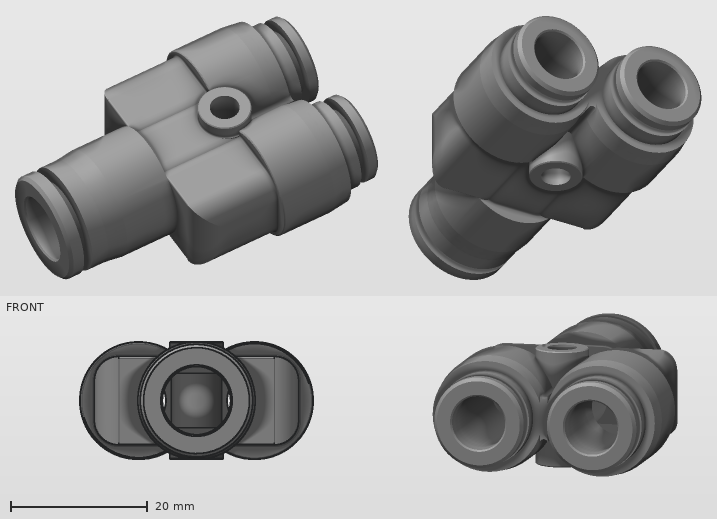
import cadquery as cq
import math

LENGTH = 48.5
FRONT_END = -LENGTH / 2
BACK_END = LENGTH / 2

SOCKET_DIAMETER = 17.2
SOCKET_RADIUS = SOCKET_DIAMETER / 2
RIM_CHAMFER = 0.5
BORE_CHAMFER = 0.25

EDGE_ROUND = 0.25
EDGE_ARC_INSET = EDGE_ROUND * (1 - math.cos(math.radians(45)))

TWIN_OFFSET = 8.5
TWIN_COLLAR_RADIUS = 6.75
TWIN_NECK_RADIUS = 4.95
TWIN_RING_RADIUS = 6.9
TWIN_MOUTH_RADIUS = 8.25
TWIN_BORE_DIAMETER = 8.0
TWIN_BORE_RADIUS = TWIN_BORE_DIAMETER / 2
TWIN_COLLAR_DEPTH = 1.8
TWIN_NECK_DEPTH = 3.2
TWIN_RING_DEPTH = 5.75
TWIN_TAPER_DEPTH = 8.75
TWIN_SOCKET_DEPTH = 17.25

MAIN_RING_RADIUS = 8.25
MAIN_NECK_RADIUS = 6.0
MAIN_BORE_RADIUS = 5.0
MAIN_COLLAR_DEPTH = 2.3
MAIN_NECK_DEPTH = 3.7
MAIN_RING_DEPTH = 6.4
MAIN_TAPER_DEPTH = 9.4
MAIN_SOCKET_DEPTH = 18.0
MAIN_BORE_DEPTH = 23.3

BAR_SIZE = 12.95
BAR_ROUND = 3.55

VALLEY_RADIUS = 0.65

EYE_Y = 6.9
EYE_RADIUS = 3.95
EYE_EDGE = 0.15
PIN_HOLE_RADIUS = 2.2
PIN_COLUMN_DIAMETER = 7.4

BLOCK_FRONT = FRONT_END + MAIN_SOCKET_DEPTH
TWIN_SOCKET_FRONT = BACK_END - TWIN_SOCKET_DEPTH
BLOCK_LENGTH = TWIN_SOCKET_FRONT - BLOCK_FRONT
MAIN_BORE_END = FRONT_END + MAIN_BORE_DEPTH


def revolved_port(profile):
    """Revolve (radius, depth from the rim) points and point the rim toward -Y at Y = 0."""
    return cq.Workplane("XY").polyline(profile).close().revolve(360, (0, 0, 0), (0, 1, 0))


def bore_profile(radius, depth):
    return [
        (0, 0),
        (radius + BORE_CHAMFER, 0),
        (radius, BORE_CHAMFER),
        (radius, depth),
        (0, depth),
    ]


def twin_placed(shape):
    """Turn a port toward +Y and place it at both twin positions."""
    turned = shape.rotate((0, 0, 0), (0, 0, 1), 180).translate((0, BACK_END, 0))
    return turned.translate((-TWIN_OFFSET, 0, 0)).union(turned.translate((TWIN_OFFSET, 0, 0)))


def rounded_bar():
    """Rounded square bar along Y from the front of the block into the back of a twin socket."""
    bar = cq.Workplane("XY").box(BAR_SIZE, BLOCK_LENGTH, BAR_SIZE).edges("|Y").fillet(BAR_ROUND)
    return bar.translate((0, BLOCK_FRONT + BLOCK_LENGTH / 2, 0))


def bar_outline(y):
    """Selector for the edges where a rounded bar meets a socket face at the given Y."""
    reach = BAR_SIZE / 2 + EDGE_ROUND
    return cq.selectors.BoxSelector(
        (-reach, y - EDGE_ROUND, -reach),
        (reach, y + EDGE_ROUND, reach),
        boundingbox=True,
    )


def twin_branch():
    """One small port with its bar, on the Y axis; the outer front edge of the bar is rounded in plan."""
    port = revolved_port([
        (0, 0),
        (TWIN_COLLAR_RADIUS - RIM_CHAMFER, 0),
        (TWIN_COLLAR_RADIUS, RIM_CHAMFER),
        (TWIN_COLLAR_RADIUS, TWIN_COLLAR_DEPTH),
        (TWIN_NECK_RADIUS, TWIN_COLLAR_DEPTH),
        (TWIN_NECK_RADIUS, TWIN_NECK_DEPTH),
        (TWIN_RING_RADIUS, TWIN_NECK_DEPTH),
        (TWIN_RING_RADIUS, TWIN_RING_DEPTH),
        (TWIN_MOUTH_RADIUS, TWIN_RING_DEPTH),
        (SOCKET_RADIUS, TWIN_TAPER_DEPTH),
        (SOCKET_RADIUS, TWIN_SOCKET_DEPTH),
        (0, TWIN_SOCKET_DEPTH),
    ])
    port = port.faces(">Y").edges().fillet(EDGE_ROUND)
    port = port.rotate((0, 0, 0), (0, 0, 1), 180).translate((0, BACK_END, 0))
    plan = cq.Workplane("XY").box(BAR_SIZE, BLOCK_LENGTH, BAR_SIZE)
    plan = plan.edges("|Z and <Y and >X").fillet(BAR_ROUND)
    plan = plan.translate((0, BLOCK_FRONT + BLOCK_LENGTH / 2, 0))
    branch = port.union(rounded_bar().intersect(plan))
    return branch.edges(bar_outline(TWIN_SOCKET_FRONT)).fillet(EDGE_ROUND)


def main_branch():
    """The large port with its bar."""
    port = revolved_port([
        (0, 0),
        (MAIN_RING_RADIUS - RIM_CHAMFER, 0),
        (MAIN_RING_RADIUS, RIM_CHAMFER),
        (MAIN_RING_RADIUS, MAIN_COLLAR_DEPTH),
        (MAIN_NECK_RADIUS, MAIN_COLLAR_DEPTH),
        (MAIN_NECK_RADIUS, MAIN_NECK_DEPTH),
        (MAIN_RING_RADIUS, MAIN_NECK_DEPTH),
        (MAIN_RING_RADIUS, MAIN_RING_DEPTH),
        (SOCKET_RADIUS, MAIN_TAPER_DEPTH),
        (SOCKET_RADIUS, MAIN_SOCKET_DEPTH),
        (0, MAIN_SOCKET_DEPTH),
    ]).translate((0, FRONT_END, 0))
    branch = port.union(rounded_bar())
    return branch.edges(bar_outline(BLOCK_FRONT)).fillet(EDGE_ROUND)


def web():
    """Web between the twin sockets, hollowed by an arc tangent to both socket cylinders."""
    length = TWIN_SOCKET_DEPTH - TWIN_RING_DEPTH
    center_distance = SOCKET_RADIUS + VALLEY_RADIUS
    arc_center_z = math.sqrt(center_distance**2 - TWIN_OFFSET**2)
    tangent_x = TWIN_OFFSET * VALLEY_RADIUS / center_distance
    tangent_z = arc_center_z * SOCKET_RADIUS / center_distance
    arc_bottom_z = arc_center_z - VALLEY_RADIUS
    return (
        cq.Workplane("XZ", origin=(0, TWIN_SOCKET_FRONT, 0))
        .moveTo(-tangent_x, -tangent_z)
        .lineTo(-tangent_x, tangent_z)
        .threePointArc((0, arc_bottom_z), (tangent_x, tangent_z))
        .lineTo(tangent_x, -tangent_z)
        .threePointArc((0, -arc_bottom_z), (-tangent_x, -tangent_z))
        .close()
        .extrude(-length)
    )


def vertical_cylinder(radius, height):
    return cq.Workplane("XY", origin=(0, EYE_Y, -height / 2)).circle(radius).extrude(height)


def flow_passage():
    """Bores of the three ports and the flat chamber that joins them around the pin column."""
    main_bore = revolved_port(bore_profile(MAIN_BORE_RADIUS, MAIN_BORE_DEPTH))
    main_bore = main_bore.translate((0, FRONT_END, 0))
    twin_bores = twin_placed(revolved_port(bore_profile(TWIN_BORE_RADIUS, BACK_END - MAIN_BORE_END)))
    chamber_length = EYE_Y - MAIN_BORE_END
    chamber = (
        cq.Workplane("XY")
        .box(2 * TWIN_OFFSET, chamber_length, TWIN_BORE_DIAMETER)
        .translate((0, MAIN_BORE_END + chamber_length / 2, 0))
    )
    column = vertical_cylinder(PIN_COLUMN_DIAMETER / 2, SOCKET_DIAMETER)
    return twin_bores.union(main_bore).union(chamber).cut(column)


def mounting_eye():
    """Boss with eased rims, flared where it stands on the block in front of the twin sockets."""
    boss = vertical_cylinder(EYE_RADIUS, SOCKET_DIAMETER).faces("|Z").edges().chamfer(EYE_EDGE)
    block_top = BAR_SIZE / 2
    flare_radius = EYE_RADIUS + EDGE_ROUND
    flare = (
        cq.Workplane("XZ")
        .moveTo(0, 0)
        .lineTo(flare_radius, 0)
        .lineTo(flare_radius, block_top)
        .threePointArc(
            (EYE_RADIUS + EDGE_ARC_INSET, block_top + EDGE_ARC_INSET),
            (EYE_RADIUS, block_top + EDGE_ROUND),
        )
        .lineTo(0, block_top + EDGE_ROUND)
        .close()
        .revolve(360, (0, 0, 0), (0, 1, 0))
        .translate((0, EYE_Y, 0))
    )
    flare = flare.union(flare.mirror("XY"))
    front_space = cq.Workplane("XY").box(BAR_SIZE, BLOCK_LENGTH, 2 * BAR_SIZE)
    front_space = front_space.translate((0, BLOCK_FRONT + BLOCK_LENGTH / 2, 0))
    return boss.union(flare.intersect(front_space))


def front_edge_rounding():
    """Material removed to round the block's straight front edges on both sides of the main socket."""
    block_top = BAR_SIZE / 2
    inner_x = math.sqrt(SOCKET_RADIUS**2 - block_top**2)
    outer_x = TWIN_OFFSET + block_top - BAR_ROUND
    sliver = (
        cq.Workplane("YZ", origin=(inner_x, BLOCK_FRONT, block_top))
        .moveTo(0, -EDGE_ROUND)
        .threePointArc((EDGE_ARC_INSET, -EDGE_ARC_INSET), (EDGE_ROUND, 0))
        .lineTo(0, 0)
        .close()
        .extrude(outer_x - inner_x)
    )
    pair = sliver.union(sliver.mirror("YZ"))
    return pair.union(pair.mirror("XY"))


right_branch = twin_branch().translate((TWIN_OFFSET, 0, 0))
twin_branches = right_branch.union(right_branch.mirror("YZ"))
body = main_branch().union(twin_branches).union(web()).cut(front_edge_rounding())
pin_hole = vertical_cylinder(PIN_HOLE_RADIUS, SOCKET_DIAMETER)
result = body.union(mounting_eye()).cut(flow_passage()).cut(pin_hole)